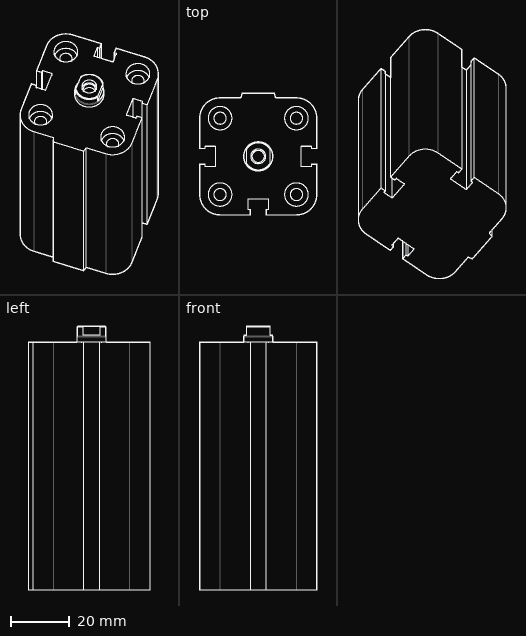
import cadquery as cq

HOUSING_SIDE = 40.0
HOUSING_HEIGHT = 84.5
RIB_BASE_WIDTH = 11.8
RIB_TOP_WIDTH = 11.1
RIB_HEIGHT = 1.5

SLOT_MOUTH_WIDTH = 5.3
SLOT_INNER_WIDTH = 6.8
SLOT_LIP_THICKNESS = 1.9
SLOT_DEPTH = 5.4

SCREW_PITCH = 26.0
SCREW_HOLE_DIAMETER = 4.1
SCREW_HEAD_DIAMETER = 8.0
SCREW_HEAD_DEPTH = 4.9
SCREW_HOLE_DEPTH = 13.0

ROD_LENGTH = 5.5
COLLAR_DIAMETER = 10.0
COLLAR_HEIGHT = 2.2
COLLAR_CHAMFER_HEIGHT = 0.4
ROD_DIAMETER = 9.8
ROD_CHAMFER = 0.3
FLATS_WIDTH = 8.0
FLATS_START = 2.4
ROD_BORE_DIAMETER = 4.1
ROD_MOUTH_DIAMETER = 5.0
ROD_MOUTH_DEPTH = 2.0
ROD_BORE_DEPTH = 4.5

HALF_SIDE = HOUSING_SIDE / 2
CORNER_RADIUS = (HOUSING_SIDE - SCREW_PITCH) / 2
SLOT_ANGLES = (-90, 0, 180)


def counterbored_hole(top, diameter, depth, mouth_diameter, mouth_depth):
    """Stepped blind hole on the Z axis, running down from height top."""
    bore = cq.Workplane().workplane(offset=top).circle(diameter / 2).extrude(-depth)
    mouth = cq.Workplane().workplane(offset=top).circle(mouth_diameter / 2).extrude(-mouth_depth)
    return bore.union(mouth)


def make_slot():
    """T-slot cutter opening on the +X side, full housing height."""
    inner_length = SLOT_DEPTH - SLOT_LIP_THICKNESS
    mouth = cq.Workplane().center(HALF_SIDE - SLOT_DEPTH / 2, 0)
    mouth = mouth.rect(SLOT_DEPTH, SLOT_MOUTH_WIDTH).extrude(HOUSING_HEIGHT)
    inner = cq.Workplane().center(HALF_SIDE - SLOT_DEPTH + inner_length / 2, 0)
    inner = inner.rect(inner_length, SLOT_INNER_WIDTH).extrude(HOUSING_HEIGHT)
    return mouth.union(inner)


def make_rib():
    """Rib along the +Y side, tapering slightly towards its top face."""
    outline = cq.Workplane().polyline([
        (-RIB_BASE_WIDTH / 2, 0),
        (RIB_BASE_WIDTH / 2, 0),
        (RIB_BASE_WIDTH / 2, HALF_SIDE),
        (RIB_TOP_WIDTH / 2, HALF_SIDE + RIB_HEIGHT),
        (-RIB_TOP_WIDTH / 2, HALF_SIDE + RIB_HEIGHT),
        (-RIB_BASE_WIDTH / 2, HALF_SIDE),
    ])
    return outline.close().extrude(HOUSING_HEIGHT)


def make_housing():
    housing = cq.Workplane().rect(HOUSING_SIDE, HOUSING_SIDE).extrude(HOUSING_HEIGHT)
    housing = housing.edges("|Z").fillet(CORNER_RADIUS)
    housing = housing.union(make_rib())

    slot = make_slot()
    for angle in SLOT_ANGLES:
        housing = housing.cut(slot.rotate((0, 0, 0), (0, 0, 1), angle))

    screw_hole = counterbored_hole(
        HOUSING_HEIGHT, SCREW_HOLE_DIAMETER, SCREW_HOLE_DEPTH, SCREW_HEAD_DIAMETER, SCREW_HEAD_DEPTH
    )
    for x_side in (-1, 1):
        for y_side in (-1, 1):
            position = (x_side * SCREW_PITCH / 2, y_side * SCREW_PITCH / 2, 0)
            housing = housing.cut(screw_hole.translate(position))
    return housing


def make_rod():
    """Rod end standing on the housing: collar, spanner flats and stepped bore."""
    rod = cq.Workplane().circle(ROD_DIAMETER / 2).extrude(ROD_LENGTH)
    rod = rod.faces(">Z").chamfer(ROD_CHAMFER)

    flats_height = ROD_LENGTH - FLATS_START
    flats_zone = cq.Workplane().workplane(offset=FLATS_START)
    cutter = flats_zone.rect(2 * COLLAR_DIAMETER, 2 * COLLAR_DIAMETER).extrude(flats_height)
    core = flats_zone.rect(FLATS_WIDTH, 2 * COLLAR_DIAMETER).extrude(flats_height)
    rod = rod.cut(cutter.cut(core))

    collar_step = (COLLAR_DIAMETER - ROD_DIAMETER) / 2
    collar = cq.Workplane().circle(COLLAR_DIAMETER / 2).extrude(COLLAR_HEIGHT)
    collar = collar.faces(">Z").chamfer(COLLAR_CHAMFER_HEIGHT, collar_step)
    bore = counterbored_hole(
        ROD_LENGTH, ROD_BORE_DIAMETER, ROD_BORE_DEPTH, ROD_MOUTH_DIAMETER, ROD_MOUTH_DEPTH
    )
    return rod.union(collar).cut(bore).translate((0, 0, HOUSING_HEIGHT))


housing = make_housing()
rod = make_rod()

result = cq.Compound.makeCompound([housing.val(), rod.val()])